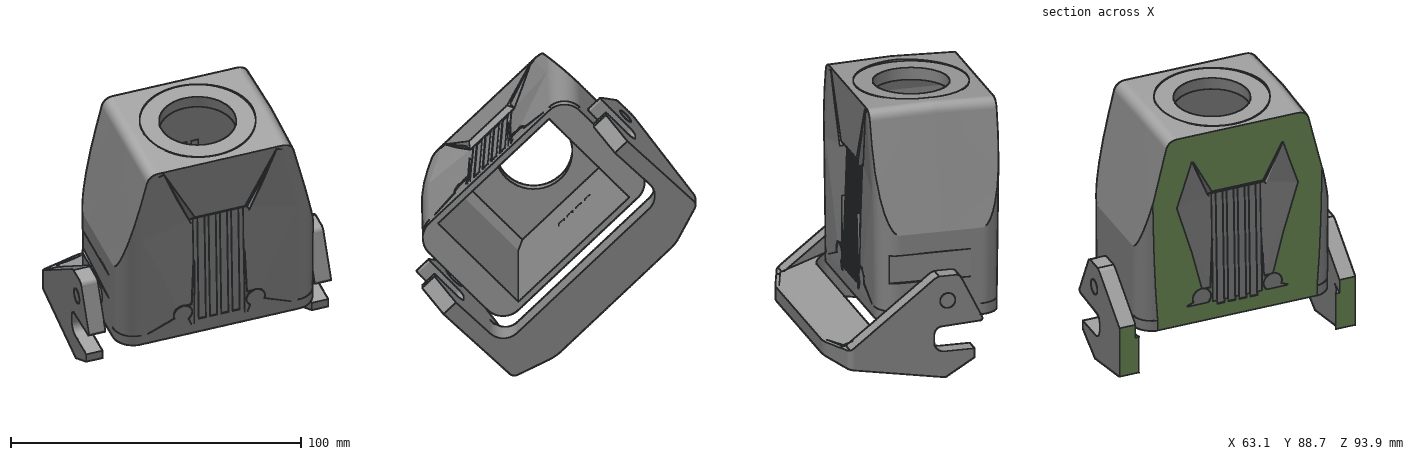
import cadquery as cq
import math


HOOD_TOP = 75.1
RIM_HEIGHT = 4.0
RIM_HALF_X = 21.9
TOP_HALF_X = 22.8
HOOD_HALF_Y = 36.4
CORNER_RADIUS = 7.5
SHOULDER_Z = 31.7
TOP_HALF_Y = 26.5
TOP_EDGE_RADIUS = 4.2
ROOF_DROP = 0.7
END_DROP = 0.4

HOLE_DIAMETER = 26.6
SEAT_DIAMETER = 40.0
SEAT_Z = 74.35
TOP_THICKNESS = 5.2
CAVITY_HALF_X = 19.7
CAVITY_HALF_Y = 26.8
END_WALL = 2.8

LABEL_X = (-18.4, 10.4)
LABEL_Z = (14.3, 24.4)
LABEL_DEPTH = 1.1

PANEL_HALF_Y = 9.2
PANEL_TOP = 49.1
GROOVE_COUNT = 4
GROOVE_PITCH = 4.1
GROOVE_WIDTH = 2.6
GROOVE_BOTTOM = 5.5
GROOVE_DEPTH = 0.4
SHIELD_BOTTOM_Z = 51.3
SHIELD_TOP_Z = 73.4
SHIELD_TOP_HALF_Y = 20.7
SHIELD_DEPTH = 0.1
FOOT_CENTRE = (13.3, 9.4)
FOOT_RADIUS = 3.4
FOOT_NECK = [(11.3, 6.6), (16.8, 8.0)]
FOOT_BASE = [(10.3, RIM_HEIGHT), (26.2, RIM_HEIGHT)]
CUTTER_REACH = 28.2

LEVER_HALF_Y = 88.7 / 2
CHEEK_THICKNESS = 6.0
CHEEK_INNER_Y = LEVER_HALF_Y - CHEEK_THICKNESS
LEVER_FRONT_X = -40.3
BAR_INNER_X = -24.3
BAR_CORNER_RADIUS = 6.6
BAR_INNER_TOP = -1.6
LIP_WIDTH = 1.4
LIP_OUTER_Z = -6.8
LIP_SLOPE = 0.18
SLANT_Y = 28.9
SLANT_END_X = -35.1
SLANT_RADIUS = 13.1
SIDE_RADIUS = 2.35
HINGE_END_X = 18.8
LEVER_BOTTOM = -18.8
PIN_Z = 9.3
PIN_DIAMETER = 8.2
PIN_OVERLAP = 0.9
PIN_END_DIAMETER = 5.4
PIN_END_RECESS = 0.1


def wall_half_x(z):
    """Half width of the drafted broad sides at height z."""
    return RIM_HALF_X + (TOP_HALF_X - RIM_HALF_X) * (z - RIM_HEIGHT) / (HOOD_TOP - RIM_HEIGHT)


def end_profile(x, top_z, top_half_y):
    """Y-Z outline at x: vertical, then sloping in to a rounded top."""
    slope_length = math.hypot(HOOD_HALF_Y - top_half_y, top_z - SHOULDER_Z)
    slope_y = (HOOD_HALF_Y - top_half_y) / slope_length
    slope_z = (top_z - SHOULDER_Z) / slope_length
    turn = math.acos(slope_y)
    tangent = TOP_EDGE_RADIUS * math.tan(turn / 2)
    flat_y = top_half_y - tangent
    start = (top_half_y + tangent * slope_y, top_z - tangent * slope_z)
    middle = (
        flat_y + TOP_EDGE_RADIUS * math.sin(turn / 2),
        top_z - TOP_EDGE_RADIUS * (1 - math.cos(turn / 2)),
    )
    return (
        cq.Workplane("YZ", origin=(x, 0, 0))
        .moveTo(-HOOD_HALF_Y, 0)
        .lineTo(HOOD_HALF_Y, 0)
        .lineTo(HOOD_HALF_Y, SHOULDER_Z)
        .lineTo(*start)
        .threePointArc(middle, (flat_y, top_z))
        .lineTo(-flat_y, top_z)
        .threePointArc((-middle[0], middle[1]), (-start[0], start[1]))
        .lineTo(-HOOD_HALF_Y, SHOULDER_Z)
        .close()
        .wires()
        .val()
    )


def hood_blank():
    rim = (
        cq.Workplane("XY")
        .rect(2 * RIM_HALF_X, 2 * HOOD_HALF_Y)
        .extrude(RIM_HEIGHT)
        .edges("|Z")
        .fillet(CORNER_RADIUS)
    )
    walls = (
        cq.Workplane("XZ")
        .polyline([
            (-RIM_HALF_X, RIM_HEIGHT), (RIM_HALF_X, RIM_HEIGHT),
            (TOP_HALF_X, HOOD_TOP), (-TOP_HALF_X, HOOD_TOP),
        ])
        .close()
        .extrude(HOOD_HALF_Y, both=True)
        .edges("(not |X) and (not |Y)")
        .fillet(CORNER_RADIUS)
    )
    ridge = end_profile(0, HOOD_TOP, TOP_HALF_Y)
    envelope = cq.Workplane("XY")
    for side in (-1, 1):
        edge = end_profile(side * TOP_HALF_X, HOOD_TOP - ROOF_DROP, TOP_HALF_Y - END_DROP)
        envelope = envelope.add(cq.Solid.makeLoft([ridge, edge], True))
    envelope = envelope.combine()
    return rim.union(walls).intersect(envelope)


def hood_cavity():
    ceiling = HOOD_TOP - TOP_THICKNESS
    slope = (HOOD_HALF_Y - TOP_HALF_Y) / (HOOD_TOP - SHOULDER_Z)
    foot_y = HOOD_HALF_Y - END_WALL + slope * SHOULDER_Z
    top_y = HOOD_HALF_Y - END_WALL - slope * (ceiling - SHOULDER_Z)
    box = cq.Workplane("XY").rect(2 * CAVITY_HALF_X, 2 * CAVITY_HALF_Y).extrude(ceiling)
    outline = [(-foot_y, 0), (foot_y, 0), (top_y, ceiling), (-top_y, ceiling)]
    tapered = cq.Workplane("YZ").polyline(outline).close().extrude(CAVITY_HALF_X, both=True)
    hole = cq.Workplane("XY").circle(HOLE_DIAMETER / 2).extrude(HOOD_TOP)
    seat = cq.Workplane("XY", origin=(0, 0, SEAT_Z)).circle(SEAT_DIAMETER / 2).extrude(HOOD_TOP - SEAT_Z)
    return box.intersect(tapered).union(hole).union(seat)


def label_pocket():
    """Wedge whose sloping floor runs out at the +X end and through the rounded corner at the other."""
    left, right = LABEL_X
    bottom, top = LABEL_Z
    outline = [
        (right, -HOOD_HALF_Y), (left, -HOOD_HALF_Y + LABEL_DEPTH),
        (left, -HOOD_HALF_Y - LABEL_DEPTH), (right, -HOOD_HALF_Y - LABEL_DEPTH),
    ]
    return cq.Workplane("XY", origin=(0, 0, bottom)).polyline(outline).close().extrude(top - bottom)


def facet_cutter(corners):
    """Prism along X from outside the hood to a flat facet; corners are (y, z, depth below wall)."""
    points = [cq.Vector(depth - wall_half_x(z), y, z) for y, z, depth in corners]
    facet = cq.Face.makeFromWires(cq.Wire.makePolygon(points, close=True))
    return cq.Workplane(cq.Solid.extrudeLinear(facet, cq.Vector(-CUTTER_REACH, 0, 0)))


def on_plane(y, z, a, b, c):
    """Relief corner at (y, z) in the plane of three other corners."""
    det = (b[0] - a[0]) * (c[1] - a[1]) - (c[0] - a[0]) * (b[1] - a[1])
    along_b = ((y - a[0]) * (c[1] - a[1]) - (c[0] - a[0]) * (z - a[1])) / det
    along_c = ((b[0] - a[0]) * (z - a[1]) - (y - a[0]) * (b[1] - a[1])) / det
    return (y, z, a[2] + along_b * (b[2] - a[2]) + along_c * (c[2] - a[2]))


OUTER_TOP = (22.4, 72.85, 0)
OUTER_UPPER = (25.2, 60.1, 0)
OUTER_WIDEST = (28.35, 45.8, 0)
OUTER_LOWER = (21.4, 29.3, 0)
OUTER_END = (15.2, 12.7, 0)
SHIELD_EDGE = (15.9, 61.0, 1.1)
SHIELD_TOP = on_plane(SHIELD_TOP_HALF_Y, SHIELD_TOP_Z, OUTER_TOP, OUTER_UPPER, SHIELD_EDGE)
VALLEY_TOP = on_plane(19.4, 56.7, OUTER_TOP, OUTER_UPPER, SHIELD_EDGE)
VALLEY_CREASE = on_plane(18.8, 47.7, OUTER_UPPER, OUTER_WIDEST, VALLEY_TOP)
LEDGE_CORNER = on_plane(10.7, PANEL_TOP, SHIELD_EDGE, VALLEY_TOP, VALLEY_CREASE)
VALLEY_LOWER = on_plane(14.4, 27.0, OUTER_WIDEST, OUTER_LOWER, VALLEY_CREASE)
VALLEY_END = on_plane(13.05, 12.7, OUTER_LOWER, OUTER_END, VALLEY_LOWER)
PANEL_UPPER = on_plane(PANEL_HALF_Y, PANEL_TOP, VALLEY_CREASE, VALLEY_LOWER, LEDGE_CORNER)
PANEL_MIDDLE = on_plane(PANEL_HALF_Y, 31.4, VALLEY_CREASE, VALLEY_LOWER, LEDGE_CORNER)
PANEL_LOWER = (10.1, 12.7, 0.5)
SHIELD_CORNER = (PANEL_HALF_Y, SHIELD_BOTTOM_Z, SHIELD_DEPTH)

HOLLOW_FACETS = [
    (SHIELD_TOP, SHIELD_CORNER, LEDGE_CORNER),
    (SHIELD_TOP, OUTER_TOP, OUTER_UPPER, VALLEY_TOP, SHIELD_EDGE),
    (OUTER_UPPER, OUTER_WIDEST, VALLEY_CREASE, VALLEY_TOP),
    (SHIELD_EDGE, VALLEY_TOP, VALLEY_CREASE, LEDGE_CORNER),
    (OUTER_WIDEST, OUTER_LOWER, VALLEY_LOWER, VALLEY_CREASE),
    (VALLEY_CREASE, VALLEY_LOWER, PANEL_MIDDLE, PANEL_UPPER, LEDGE_CORNER),
    (OUTER_LOWER, OUTER_END, VALLEY_END, VALLEY_LOWER),
    (VALLEY_LOWER, VALLEY_END, PANEL_LOWER),
    (VALLEY_LOWER, PANEL_LOWER, PANEL_MIDDLE),
]
PANEL_DEPTH = LEDGE_CORNER[2]


def on_panel(y, z, extra=0):
    """Corner on the panel face, or a given amount below it."""
    return (y, z, extra + PANEL_DEPTH * (z - RIM_HEIGHT) / (PANEL_TOP - RIM_HEIGHT))


def panel_cutter():
    """Grooved middle panel, the sloping ledge above it and the shield above that."""
    half = PANEL_HALF_Y
    corner_y = LEDGE_CORNER[0]
    cutter = facet_cutter([
        on_panel(-half, RIM_HEIGHT), on_panel(half, RIM_HEIGHT),
        on_panel(half, PANEL_TOP), on_panel(-half, PANEL_TOP),
    ])
    cutter = cutter.union(facet_cutter([
        on_panel(-corner_y, PANEL_TOP), on_panel(corner_y, PANEL_TOP),
        (half, SHIELD_BOTTOM_Z, SHIELD_DEPTH), (-half, SHIELD_BOTTOM_Z, SHIELD_DEPTH),
    ]))
    cutter = cutter.union(facet_cutter([
        (-half, SHIELD_BOTTOM_Z, SHIELD_DEPTH), (half, SHIELD_BOTTOM_Z, SHIELD_DEPTH),
        (SHIELD_TOP_HALF_Y, SHIELD_TOP_Z, 0), (-SHIELD_TOP_HALF_Y, SHIELD_TOP_Z, 0),
    ]))
    for i in range(GROOVE_COUNT):
        y = (i - (GROOVE_COUNT - 1) / 2) * GROOVE_PITCH
        left = y - GROOVE_WIDTH / 2
        right = y + GROOVE_WIDTH / 2
        cutter = cutter.union(facet_cutter([
            on_panel(left, GROOVE_BOTTOM, GROOVE_DEPTH), on_panel(right, GROOVE_BOTTOM, GROOVE_DEPTH),
            on_panel(right, PANEL_TOP, GROOVE_DEPTH), on_panel(left, PANEL_TOP, GROOVE_DEPTH),
        ]))
    return cutter


def hollow_cutter():
    cutter = facet_cutter(HOLLOW_FACETS[0])
    for facet in HOLLOW_FACETS[1:]:
        cutter = cutter.union(facet_cutter(facet))
    return cutter


def foot_cutter():
    """Round-headed flat below the hollow, spreading towards the rim."""
    floor_top = FOOT_CENTRE[1] + FOOT_RADIUS
    slab = facet_cutter([
        on_panel(PANEL_HALF_Y, RIM_HEIGHT), on_panel(OUTER_WIDEST[0], RIM_HEIGHT),
        on_panel(OUTER_WIDEST[0], floor_top), on_panel(PANEL_HALF_Y, floor_top),
    ])
    plane = cq.Workplane("YZ", origin=(-CUTTER_REACH, 0, 0))
    head = plane.center(*FOOT_CENTRE).circle(FOOT_RADIUS).extrude(CUTTER_REACH)
    outline = [*FOOT_BASE, FOOT_NECK[1], FOOT_CENTRE, FOOT_NECK[0]]
    spread = plane.polyline(outline).close().extrude(CUTTER_REACH)
    return slab.intersect(head.union(spread))


def hood():
    body = hood_blank().cut(hood_cavity()).cut(label_pocket())
    panel = panel_cutter()
    half = hollow_cutter().union(foot_cutter())
    relief = panel.union(half).union(half.mirror("XZ"))
    return body.cut(relief).cut(relief.mirror("YZ"))


def side_profile():
    """Side outline of the lever, spanning its whole width."""
    return (
        cq.Workplane("XZ")
        .moveTo(LEVER_FRONT_X, LIP_OUTER_Z)
        .lineTo(LEVER_FRONT_X, -11.7)
        .lineTo(-0.8, LEVER_BOTTOM)
        .lineTo(9.7, -12.5)
        .lineTo(9.7, -9.2)
        .lineTo(-1.2, -9.2)
        .radiusArc((-4.8, -5.6), 3.6)
        .lineTo(-4.8, -2.8)
        .radiusArc((-2.0, 0), 2.8)
        .lineTo(11.6, 0.75)
        .radiusArc((12.4, 2.1), -0.9)
        .lineTo(5.1, 16.8)
        .threePointArc((4.1, 18.0), (2.7, 18.4))
        .lineTo(-3.1, 18.4)
        .lineTo(-4.6, 17.7)
        .lineTo(-34.8, -5.7)
        .close()
        .extrude(LEVER_HALF_Y, both=True)
    )


def plan_outline():
    side = LEVER_HALF_Y
    return cq.Workplane("XY", origin=(0, 0, LEVER_BOTTOM)).polyline([
        (LEVER_FRONT_X, -SLANT_Y), (SLANT_END_X, -side), (HINGE_END_X, -side),
        (HINGE_END_X, side), (SLANT_END_X, side), (LEVER_FRONT_X, SLANT_Y),
    ]).close()


def between_cheeks(outline):
    """Prism of an X-Z outline filling the gap between the cheeks."""
    return cq.Workplane("XZ").polyline(outline).close().extrude(CHEEK_INNER_Y, both=True)


def lever():
    height = -2 * LEVER_BOTTOM
    lip_rise = LIP_SLOPE * (HINGE_END_X - LEVER_FRONT_X)
    above_lip = between_cheeks([
        (LEVER_FRONT_X, LIP_OUTER_Z), (HINGE_END_X, LIP_OUTER_Z + lip_rise),
        (HINGE_END_X, height), (LEVER_FRONT_X, height),
    ])

    lip_inner_x = LEVER_FRONT_X + LIP_WIDTH
    lip_inner_z = LIP_OUTER_Z + LIP_SLOPE * LIP_WIDTH
    bar_slope = (BAR_INNER_TOP - lip_inner_z) / (BAR_INNER_X - lip_inner_x)
    bar_end_x = BAR_INNER_X + BAR_CORNER_RADIUS
    bar_end_z = BAR_INNER_TOP + bar_slope * BAR_CORNER_RADIUS
    bar_top = between_cheeks([
        (lip_inner_x, lip_inner_z), (bar_end_x, bar_end_z),
        (bar_end_x, LIP_OUTER_Z), (lip_inner_x, LIP_OUTER_Z),
    ])
    bar_top = bar_top.intersect(plan_outline().offset2D(-LIP_WIDTH).extrude(height))

    opening = (
        cq.Workplane("XY", origin=(0, 0, LEVER_BOTTOM))
        .rect(2 * abs(BAR_INNER_X), 2 * CHEEK_INNER_Y)
        .extrude(height)
        .edges("|Z and <X")
        .fillet(BAR_CORNER_RADIUS)
    )
    plan = plan_outline().extrude(height)
    plan = plan.edges("|Z and <X").fillet(SLANT_RADIUS)
    for side in (-1, 1):
        corner = cq.selectors.NearestToPointSelector((SLANT_END_X, side * LEVER_HALF_Y, 0))
        plan = plan.edges(corner).fillet(SIDE_RADIUS)
    return side_profile().cut(above_lip).union(bar_top).cut(opening).intersect(plan)


def pins():
    """Pivot pins reaching from the cheeks into the hood ends."""
    pin = (
        cq.Workplane("XZ", origin=(0, CHEEK_INNER_Y + PIN_OVERLAP, PIN_Z))
        .circle(PIN_DIAMETER / 2)
        .extrude(CHEEK_INNER_Y - HOOD_HALF_Y + 2 * PIN_OVERLAP)
    )
    return pin.union(pin.mirror("XZ"))


def pin_end_recesses():
    end = (
        cq.Workplane("XZ", origin=(0, LEVER_HALF_Y, PIN_Z))
        .circle(PIN_END_DIAMETER / 2)
        .extrude(PIN_END_RECESS)
    )
    return end.union(end.mirror("XZ"))


result = hood().union(lever()).union(pins()).cut(pin_end_recesses())